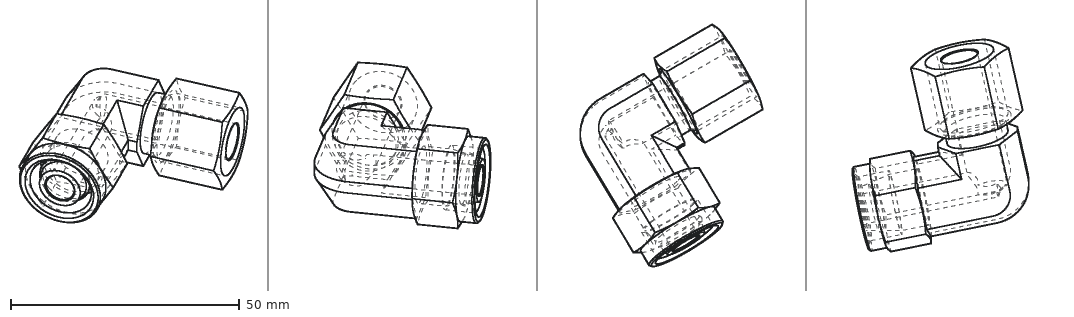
import cadquery as cq
import math

X_PORT = cq.Plane(origin=(0, 0, 0), xDir=(0, 1, 0), normal=(1, 0, 0)).location
Y_PORT = cq.Plane(origin=(0, 0, 0), xDir=(1, 0, 0), normal=(0, -1, 0)).location

OVERALL_X = 40.95
OVERALL_Y = 39.45

NUT_FLATS = 19.0
NUT_CORNERS = NUT_FLATS / math.cos(math.pi / 6)
NUT_FACE_RADIUS = 9.45
NUT_CHAMFER_DEPTH = 0.4

BLOCK_HEIGHT = 16.9
BLOCK_HALF_WIDTH = 8.95
X_BLOCK_END = NUT_CORNERS / 2
Y_BLOCK_END = 14.7

X_NUT_START = 14.5
X_NUT_END = OVERALL_X - NUT_CORNERS / 2
X_MOUTH_CHAMFER = 0.57

Y_HEX_END = 24.5
Y_NUT_END = OVERALL_Y - NUT_CORNERS / 2
SKIRT_RADIUS = 9.42
SKIRT_CHAMFER = 0.35
THREAD_RADIUS = 7.13
Y_MOUTH_CHAMFER = 0.85

NECK_RADIUS = 6.85
NECK_END = 13.65
SHANK_RADIUS = 7.65
FLARE_LENGTH = (SHANK_RADIUS - NECK_RADIUS) / math.tan(math.pi / 6)

NOSE_RECESS = 0.33
NOSE_END = Y_NUT_END - NOSE_RECESS
NOSE_TIP_RADIUS = 4.75
STEM_RADIUS = 6.3
NOSE_TAPER = math.radians(12)
NOSE_START = NOSE_END - (STEM_RADIUS - NOSE_TIP_RADIUS) / math.tan(NOSE_TAPER)
RING_RADIUS = 5.05
RING_SECTION = 0.78
RING_FROM_TIP = 3.25

X_BORE_RADIUS = 4.0
X_BORE_OVERRUN = 0.9
Y_BORE_RADIUS = 3.28
Y_BORE_OVERRUN = 1.6
BORE_TIP_HALF_ANGLE = math.radians(59)
BORE_CHAMFER = 0.2


def turned(profile):
    """Revolve (radius, height) points about local Z."""
    return cq.Workplane("XZ").polyline(profile).close().revolve(360, (0, 0, 0), (0, 1, 0))


def hexagon(start, end):
    """Hexagonal bar with both ends chamfered towards the round faces."""
    corner_radius = NUT_CORNERS / 2
    bar = cq.Workplane("XY").workplane(offset=start).polygon(6, NUT_CORNERS).extrude(end - start)
    envelope = turned([
        (0, start),
        (NUT_FACE_RADIUS, start),
        (corner_radius, start + NUT_CHAMFER_DEPTH),
        (corner_radius, end - NUT_CHAMFER_DEPTH),
        (NUT_FACE_RADIUS, end),
        (0, end),
    ])
    return bar.intersect(envelope)


def half_section():
    """Right half of the block section as (half width, height) corners, bottom to top."""
    half_height = BLOCK_HEIGHT / 2
    top_half_width = half_height * math.tan(math.pi / 6)
    full_half_width = BLOCK_HEIGHT * math.tan(math.pi / 6)
    side_half_height = (full_half_width - BLOCK_HALF_WIDTH) * math.tan(math.pi / 3)
    return [
        (top_half_width, -half_height),
        (BLOCK_HALF_WIDTH, -side_half_height),
        (BLOCK_HALF_WIDTH, side_half_height),
        (top_half_width, half_height),
    ]


def block_arm(length):
    right = half_section()
    left = [(-width, height) for width, height in reversed(right)]
    return cq.Workplane("XY").polyline(right + left).close().extrude(length)


def block_corner():
    """Rounded outer corner: the block section turned about the vertical axis."""
    half_height = BLOCK_HEIGHT / 2
    return turned([(0, -half_height)] + half_section() + [(0, half_height)])


def x_shank():
    """Neck that flares into the shank held in the X nut."""
    return turned([
        (0, X_BLOCK_END),
        (NECK_RADIUS, X_BLOCK_END),
        (NECK_RADIUS, NECK_END),
        (SHANK_RADIUS, NECK_END + FLARE_LENGTH),
        (SHANK_RADIUS, X_NUT_END),
        (0, X_NUT_END),
    ])


def y_stem():
    """Stem through the Y nut, tapering to the nose and carrying the sealing ring."""
    stem = turned([
        (0, Y_BLOCK_END),
        (STEM_RADIUS, Y_BLOCK_END),
        (STEM_RADIUS, NOSE_START),
        (NOSE_TIP_RADIUS, NOSE_END),
        (0, NOSE_END),
    ])
    ring_height = NOSE_END - RING_FROM_TIP
    ring = (
        cq.Workplane("XZ")
        .center(RING_RADIUS, ring_height)
        .circle(RING_SECTION)
        .revolve(360, (-RING_RADIUS, 0, 0), (-RING_RADIUS, 1, 0))
    )
    return stem.union(ring)


def bore(radius, overrun, end):
    """Drilled passage with a conical bottom just past the corner and a chamfered mouth."""
    tip_length = radius / math.tan(BORE_TIP_HALF_ANGLE)
    return turned([
        (0, -overrun - tip_length),
        (radius, -overrun),
        (radius, end - BORE_CHAMFER),
        (radius + BORE_CHAMFER, end),
        (0, end),
    ])


def placed(shape, port):
    return cq.Workplane("XY").newObject([shape.val().moved(port)])


def make_elbow():
    elbow = block_corner()
    elbow = elbow.union(placed(block_arm(X_BLOCK_END), X_PORT))
    elbow = elbow.union(placed(block_arm(Y_BLOCK_END), Y_PORT))
    elbow = elbow.union(placed(x_shank(), X_PORT))
    elbow = elbow.union(placed(y_stem(), Y_PORT))
    elbow = elbow.cut(placed(bore(X_BORE_RADIUS, X_BORE_OVERRUN, X_NUT_END), X_PORT))
    return elbow.cut(placed(bore(Y_BORE_RADIUS, Y_BORE_OVERRUN, NOSE_END), Y_PORT))


def make_x_nut():
    """Hexagon nut around the shank, with its hole chamfered on the side of the neck."""
    hole = turned([
        (0, X_NUT_START),
        (SHANK_RADIUS + X_MOUTH_CHAMFER, X_NUT_START),
        (SHANK_RADIUS, X_NUT_START + X_MOUTH_CHAMFER),
        (SHANK_RADIUS, X_NUT_END),
        (0, X_NUT_END),
    ])
    return placed(hexagon(X_NUT_START, X_NUT_END).cut(hole), X_PORT)


def make_y_nut():
    """Hexagon nut with a round skirt that surrounds the nose."""
    skirt = turned([
        (0, Y_HEX_END),
        (SKIRT_RADIUS, Y_HEX_END),
        (SKIRT_RADIUS, Y_NUT_END - SKIRT_CHAMFER),
        (SKIRT_RADIUS - SKIRT_CHAMFER, Y_NUT_END),
        (0, Y_NUT_END),
    ])
    cavity = turned([
        (0, Y_BLOCK_END),
        (STEM_RADIUS, Y_BLOCK_END),
        (STEM_RADIUS, NOSE_START),
        (THREAD_RADIUS, NOSE_START),
        (THREAD_RADIUS, Y_NUT_END - Y_MOUTH_CHAMFER),
        (THREAD_RADIUS + Y_MOUTH_CHAMFER, Y_NUT_END),
        (0, Y_NUT_END),
    ])
    return placed(hexagon(Y_BLOCK_END, Y_HEX_END).union(skirt).cut(cavity), Y_PORT)


elbow = make_elbow()
x_nut = make_x_nut()
y_nut = make_y_nut()

result = cq.Compound.makeCompound([body.solids().val() for body in (elbow, x_nut, y_nut)])